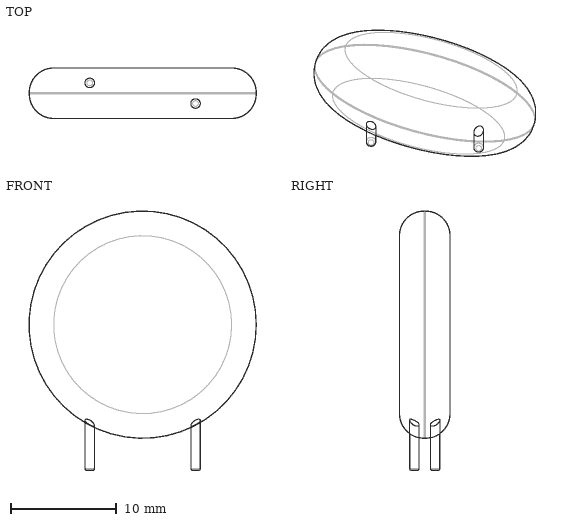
import cadquery as cq

disc_diameter = 21.5
disc_thickness = 4.8
rim_land = 0.12

pin_diameter = 0.9
pin_pitch = 10.0
pin_stagger = 1.95
pin_tip_fillet = 0.18
total_height = 24.53

disc_radius = disc_diameter / 2
rim_fillet = (disc_thickness - rim_land) / 2
pin_bottom = disc_radius - total_height
pin_top = -disc_radius / 2


def make_disc():
    """Flat round disc with a generously rounded rim."""
    disc = cq.Workplane("XZ").circle(disc_radius).extrude(disc_thickness / 2, both=True)
    return disc.faces("<Y or >Y").edges().fillet(rim_fillet)


def make_pin(x, y):
    """Vertical lead with a rounded lower tip, reaching up into the disc."""
    start = cq.Workplane("XY", origin=(x, y, pin_bottom))
    pin = start.circle(pin_diameter / 2).extrude(pin_top - pin_bottom)
    return pin.faces("<Z").edges().fillet(pin_tip_fillet)


result = make_disc()
for side in (-1, 1):
    pin = make_pin(side * pin_pitch / 2, -side * pin_stagger / 2)
    result = result.union(pin)